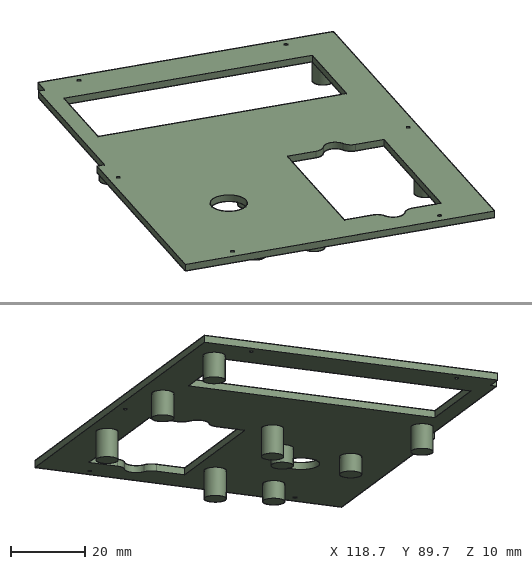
import cadquery as cq
import math

plate_length = 118.7
plate_width = 89.7
plate_thickness = 2.0

corner_step_length = 5.0
corner_step_depth = 4.0
edge_step_length = 53.7
edge_step_depth = 2.2

window_left = 11.6
window_front = 7.0
window_length = 25.2
window_width = 72.0

eared_center_x = 87.85
eared_center_y = 64.0
eared_length = 42.0
eared_width = 28.0
ear_reach = 3.5
ear_radius = 3.2

shaft_hole_diameter = 10.0
shaft_hole_x = eared_center_x
shaft_hole_y = 24.75

screw_hole_diameter = 1.0
screw_center_x = 59.3
screw_center_y = 44.85
screw_side_offset_x = 56.5
screw_side_offset_y = 30.0
screw_middle_x = 62.2
screw_middle_offset_y = 42.0

post_diameter = 6.0
tall_post_height = 8.0
medium_post_height = 7.0
short_post_height = 5.0

tall_post_middle_x = 82.3
tall_post_offset_x = 20.0
tall_post_front_y = 43.8
tall_post_back_y = 83.8

medium_post_left_x = 9.8
medium_post_right_x = 45.7
medium_post_front_y = 7.0
medium_post_back_y = 82.8

short_post_left_x = 77.1
short_post_right_x = 107.0
short_post_offset_y = 10.0

tall_posts = [
    (tall_post_middle_x - tall_post_offset_x, tall_post_front_y),
    (tall_post_middle_x + tall_post_offset_x, tall_post_front_y),
    (tall_post_middle_x, tall_post_back_y),
]
medium_posts = [
    (medium_post_left_x, medium_post_back_y),
    (medium_post_right_x, medium_post_back_y),
    (medium_post_right_x, medium_post_front_y),
]
short_posts = [
    (short_post_left_x, shaft_hole_y - short_post_offset_y),
    (short_post_left_x, shaft_hole_y + short_post_offset_y),
    (short_post_right_x, shaft_hole_y),
]


def make_plate():
    """Plate with the stepped front edge."""
    outline = [
        (0, corner_step_depth),
        (corner_step_length, corner_step_depth),
        (corner_step_length, edge_step_depth),
        (edge_step_length, edge_step_depth),
        (edge_step_length, 0),
        (plate_length, 0),
        (plate_length, plate_width),
        (0, plate_width),
    ]
    return cq.Workplane("XY").polyline(outline).close().extrude(plate_thickness)


def make_rectangular_window():
    """Cutter for the long rectangular window."""
    return (
        cq.Workplane("XY")
        .rect(window_length, window_width, centered=False)
        .extrude(plate_thickness)
        .translate((window_left, window_front, 0))
    )


def make_eared_window():
    """Cutter for the eared window; each ear side is an S of two equal tangent arcs."""
    half_length = eared_length / 2
    half_width = eared_width / 2
    tip_x = half_length + ear_reach
    bend_x = half_length + ear_reach / 2
    sweep = math.acos(1 - ear_reach / (2 * ear_radius))
    bend_y = ear_radius * math.sin(sweep)
    root_y = 2 * bend_y
    flare_x = half_length + ear_radius * (1 - math.cos(sweep / 2))
    flare_y = root_y - ear_radius * math.sin(sweep / 2)
    profile = (
        cq.Workplane("XY")
        .moveTo(-half_length, -half_width)
        .lineTo(half_length, -half_width)
        .lineTo(half_length, -root_y)
        .threePointArc((flare_x, -flare_y), (bend_x, -bend_y))
        .threePointArc((tip_x, 0), (bend_x, bend_y))
        .threePointArc((flare_x, flare_y), (half_length, root_y))
        .lineTo(half_length, half_width)
        .lineTo(-half_length, half_width)
        .lineTo(-half_length, root_y)
        .threePointArc((-flare_x, flare_y), (-bend_x, bend_y))
        .threePointArc((-tip_x, 0), (-bend_x, -bend_y))
        .threePointArc((-flare_x, -flare_y), (-half_length, -root_y))
        .close()
    )
    return profile.extrude(plate_thickness).translate((eared_center_x, eared_center_y, 0))


def make_cylinders(points, diameter, height):
    """Upright (or, for a negative height, hanging) cylinders starting at Z = 0."""
    return cq.Workplane("XY").pushPoints(points).circle(diameter / 2).extrude(height)


def screw_hole_points():
    """Centers of the six screw holes."""
    points = []
    for side in (-1, 1):
        points.append((screw_middle_x, screw_center_y + side * screw_middle_offset_y))
        for end in (-1, 1):
            x = screw_center_x + end * screw_side_offset_x
            y = screw_center_y + side * screw_side_offset_y
            points.append((x, y))
    return points


result = make_plate()
result = result.cut(make_rectangular_window())
result = result.cut(make_eared_window())
result = result.cut(make_cylinders([(shaft_hole_x, shaft_hole_y)], shaft_hole_diameter, plate_thickness))
result = result.cut(make_cylinders(screw_hole_points(), screw_hole_diameter, plate_thickness))

for post_points, post_height in (
    (tall_posts, tall_post_height),
    (medium_posts, medium_post_height),
    (short_posts, short_post_height),
):
    result = result.union(make_cylinders(post_points, post_diameter, -post_height))